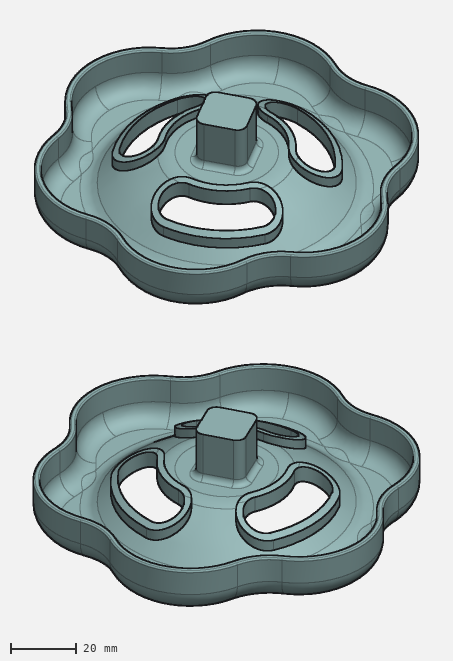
import cadquery as cq
import math

LOBE_COUNT = 6
LOBE_RADIUS = 26.0
LOBE_CENTRE_RADIUS = 34.0
NECK_RADIUS = 18.0
HALF_PITCH = 180.0 / LOBE_COUNT
NECK_ANGLES = [2 * HALF_PITCH * index for index in range(LOBE_COUNT)]

CENTRE_GAP = LOBE_RADIUS + NECK_RADIUS
LOBE_TO_NECK_ACROSS = LOBE_CENTRE_RADIUS * math.sin(math.radians(HALF_PITCH))
LOBE_TO_NECK_ALONG = math.sqrt(CENTRE_GAP**2 - LOBE_TO_NECK_ACROSS**2)
NECK_CENTRE_RADIUS = LOBE_CENTRE_RADIUS * math.cos(math.radians(HALF_PITCH)) + LOBE_TO_NECK_ALONG

WALL = 2.0
RIM_HEIGHT = 16.5
BOTTOM_ROUND = 8.0
RIM_ROUND = 0.5
NECK_CREASE_FILLET = 5.2

DOME_RADIUS = 60.0
HUB_TOP = 16.2
HUB_BLEND = 15.0
FLOOR_BLEND = 8.0
FLOOR_START_RADIUS = 45.1

POST_SIDE = 16.0
POST_TOP = 32.5
POST_CORNER = 3.0
POST_BASE_FILLET = 2.0

SLOT_COUNT = 3
SLOT_RADIUS = 27.4
SLOT_WIDTH = 12.0
SLOT_START_ANGLE = -107.0
SLOT_END_ANGLE = -54.6
LIP_WIDTH = 2.2
LIP_HEIGHT = 3.0


def polar(radius, angle):
    """Point at a radius and an angle in degrees."""
    return (radius * math.cos(math.radians(angle)), radius * math.sin(math.radians(angle)))


def flower_prism(inset, bottom, top):
    """Prism with the flower outline moved inwards by the inset."""
    lobe = LOBE_RADIUS - inset
    neck = NECK_RADIUS + inset
    joint_x = NECK_CENTRE_RADIUS - neck * LOBE_TO_NECK_ALONG / CENTRE_GAP
    joint_y = neck * LOBE_TO_NECK_ACROSS / CENTRE_GAP
    joint_radius = math.hypot(joint_x, joint_y)
    joint_angle = math.degrees(math.atan2(joint_y, joint_x))

    pitch = 2 * HALF_PITCH
    outline = cq.Workplane("XY", origin=(0, 0, bottom)).moveTo(*polar(joint_radius, -joint_angle))
    for angle in NECK_ANGLES:
        outline = outline.threePointArc(
            polar(NECK_CENTRE_RADIUS - neck, angle), polar(joint_radius, angle + joint_angle)
        )
        outline = outline.threePointArc(
            polar(LOBE_CENTRE_RADIUS + lobe, angle + HALF_PITCH),
            polar(joint_radius, angle + pitch - joint_angle),
        )
    return outline.close().extrude(top - bottom)


def dome(offset, bottom):
    """Solid below the dome surface moved along its normal by the offset, down to a level."""
    floor_blend_height = WALL + FLOOR_BLEND
    sphere_depth = math.sqrt((DOME_RADIUS + FLOOR_BLEND) ** 2 - FLOOR_START_RADIUS**2)
    sphere_height = floor_blend_height - sphere_depth
    hub_blend_height = HUB_TOP - HUB_BLEND
    hub_depth = hub_blend_height - sphere_height
    hub_flat_radius = math.sqrt((DOME_RADIUS - HUB_BLEND) ** 2 - hub_depth**2)

    hub_angle = math.atan2(hub_flat_radius, hub_depth)
    floor_angle = math.atan2(FLOOR_START_RADIUS, sphere_depth)

    def arc_point(centre_x, centre_z, radius, angle):
        return (centre_x + radius * math.sin(angle), centre_z + radius * math.cos(angle))

    def hub_point(angle):
        return arc_point(hub_flat_radius, hub_blend_height, HUB_BLEND + offset, angle)

    def sphere_point(angle):
        return arc_point(0, sphere_height, DOME_RADIUS + offset, angle)

    def floor_point(angle):
        return arc_point(FLOOR_START_RADIUS, floor_blend_height, offset - FLOOR_BLEND, angle)

    return (
        cq.Workplane("XZ")
        .moveTo(0, bottom)
        .lineTo(0, HUB_TOP + offset)
        .lineTo(*hub_point(0))
        .threePointArc(hub_point(hub_angle / 2), hub_point(hub_angle))
        .threePointArc(sphere_point((hub_angle + floor_angle) / 2), sphere_point(floor_angle))
        .threePointArc(floor_point(floor_angle / 2), floor_point(0))
        .lineTo(FLOOR_START_RADIUS, bottom)
        .close()
        .revolve(360, (0, 0, 0), (0, 1, 0))
        .rotate((0, 0, 0), (0, 0, 1), HALF_PITCH)
    )


def cavity_sector():
    """The part of the dish cavity that belongs to the neck on the +X axis."""
    cavity = flower_prism(WALL, WALL, RIM_HEIGHT).faces("<Z").edges().fillet(BOTTOM_ROUND - WALL)
    cavity = cavity.cut(dome(0, 0))

    crease_radius = NECK_CENTRE_RADIUS - NECK_RADIUS - BOTTOM_ROUND
    crease = cq.selectors.NearestToPointSelector((crease_radius, 0, WALL))
    cavity = cavity.edges(crease).fillet(NECK_CREASE_FILLET)

    reach = 2 * LOBE_CENTRE_RADIUS + LOBE_RADIUS
    wedge = (
        cq.Workplane("XY")
        .polyline([(0, 0), polar(reach, -HALF_PITCH), polar(reach, HALF_PITCH)])
        .close()
        .extrude(POST_TOP)
    )
    return cavity.intersect(wedge)


def dish():
    """Flower-shaped dish of constant wall with the hollow dome in the middle."""
    body = flower_prism(0, 0, RIM_HEIGHT).faces("<Z").edges().fillet(BOTTOM_ROUND)
    sector = cavity_sector()
    for angle in NECK_ANGLES:
        body = body.cut(sector.rotate((0, 0, 0), (0, 0, 1), angle))
    body = body.cut(dome(-WALL, -WALL))

    rim = cq.selectors.NearestToPointSelector((0, 0, RIM_HEIGHT))
    return body.faces(rim).edges().fillet(RIM_ROUND)


def slot_prism(width):
    """Tall prism over one arc slot of the given width."""
    middle_angle = (SLOT_START_ANGLE + SLOT_END_ANGLE) / 2
    inner = SLOT_RADIUS - width / 2
    outer = SLOT_RADIUS + width / 2

    def cap_tip(angle, step):
        x, y = polar(SLOT_RADIUS, angle)
        tip_x, tip_y = polar(width / 2, angle + step)
        return (x + tip_x, y + tip_y)

    return (
        cq.Workplane("XY")
        .moveTo(*polar(inner, SLOT_START_ANGLE))
        .threePointArc(polar(inner, middle_angle), polar(inner, SLOT_END_ANGLE))
        .threePointArc(cap_tip(SLOT_END_ANGLE, 90), polar(outer, SLOT_END_ANGLE))
        .threePointArc(polar(outer, middle_angle), polar(outer, SLOT_START_ANGLE))
        .threePointArc(cap_tip(SLOT_START_ANGLE, -90), polar(inner, SLOT_START_ANGLE))
        .close()
        .extrude(POST_TOP)
    )


def add_slots(body):
    """Cut the slots and raise a lip around each of them."""
    lip_layer = dome(LIP_HEIGHT, 0).cut(dome(-WALL, -WALL))
    lip = slot_prism(SLOT_WIDTH + 2 * LIP_WIDTH).intersect(lip_layer)
    slot = slot_prism(SLOT_WIDTH)
    for index in range(SLOT_COUNT):
        angle = index * 360.0 / SLOT_COUNT
        body = body.union(lip.rotate((0, 0, 0), (0, 0, 1), angle))
        body = body.cut(slot.rotate((0, 0, 0), (0, 0, 1), angle))
    return body


def add_post(body):
    """Stand the square post on the hub, with a fillet around its foot."""
    post = (
        cq.Workplane("XY", origin=(0, 0, HUB_TOP))
        .rect(POST_SIDE, POST_SIDE)
        .extrude(POST_TOP - HUB_TOP)
        .edges("|Z")
        .fillet(POST_CORNER)
    )
    reach = POST_SIDE / 2 + POST_CORNER
    foot = cq.selectors.BoxSelector(
        (-reach, -reach, HUB_TOP - POST_CORNER), (reach, reach, HUB_TOP + POST_CORNER)
    )
    return body.union(post).edges(foot).fillet(POST_BASE_FILLET)


result = add_slots(add_post(dish()))